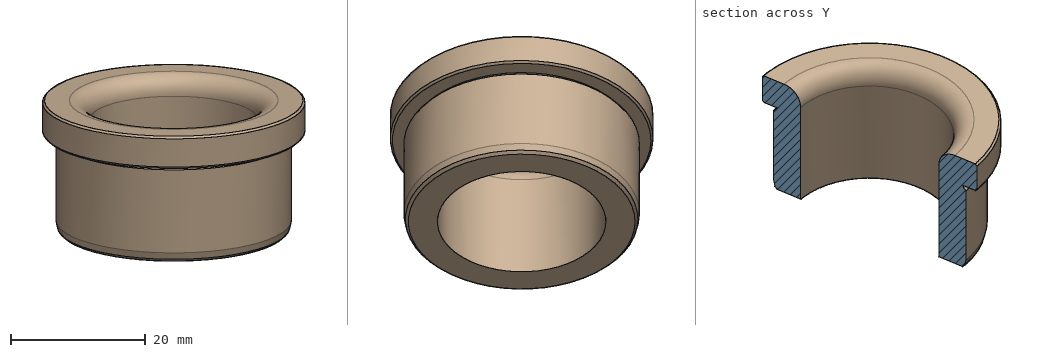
import cadquery as cq

height = 20.0
flange_radius = 39 / 2
flange_thickness = 5.0
body_radius = 35.0 / 2
bore_radius = 25.0 / 2

flange_chamfer = 0.3
mouth_radius = 3.0
neck_depth = 0.6
neck_height = 0.35
shoulder_chamfer = 0.35
lead_height = 1.5
lead_depth = 0.25
end_chamfer = 0.43

flange_bottom = height - flange_thickness
neck_radius = body_radius - neck_depth
neck_bottom = flange_bottom - neck_height
lead_radius = body_radius - lead_depth

section = (
    cq.Workplane("XZ")
    .moveTo(bore_radius, 0)
    .lineTo(lead_radius - end_chamfer, 0)
    .lineTo(lead_radius, end_chamfer)
    .lineTo(body_radius, lead_height)
    .lineTo(body_radius, neck_bottom - shoulder_chamfer)
    .lineTo(body_radius - shoulder_chamfer, neck_bottom)
    .lineTo(neck_radius, flange_bottom)
    .lineTo(flange_radius - flange_chamfer, flange_bottom)
    .lineTo(flange_radius, flange_bottom + flange_chamfer)
    .lineTo(flange_radius, height - flange_chamfer)
    .lineTo(flange_radius - flange_chamfer, height)
    .lineTo(bore_radius + mouth_radius, height)
    .radiusArc((bore_radius, height - mouth_radius), -mouth_radius)
    .close()
)

result = section.revolve(360, (0, 0, 0), (0, 1, 0))